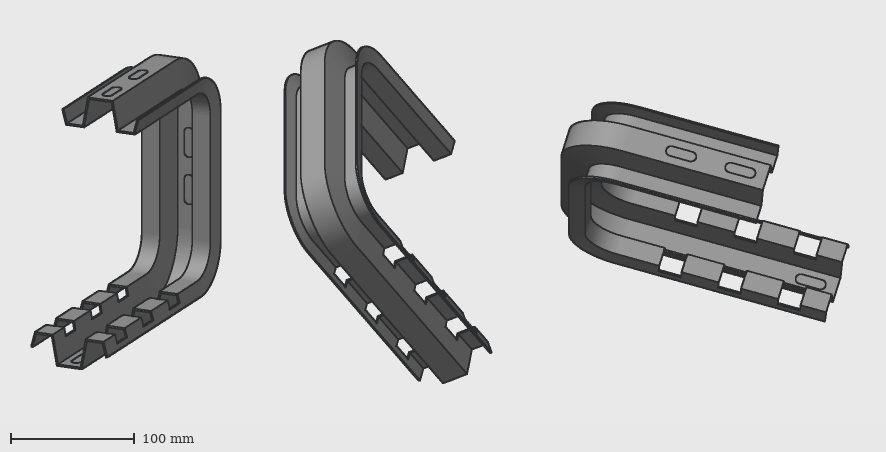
import cadquery as cq

height = 210.5
bottom_arm_length = 228.7
top_arm_length = 169.7

wall = 1.5
profile_depth = 26.0
profile_width = 68.2
lip_tip_depth = 13.3
web_half_width = 11.2
leg_foot_half_width = 16.0
flange_half_width = 30.6

inner_bend_radius = 25.5
outer_bend_radius = inner_bend_radius + profile_depth

notch_count = 3
notch_width = 18.8
notch_depth = 7.5
notch_pitch = 50.0
first_notch_from_end = 30.9

slot_length = 25.2
slot_width = 8.5
slot_depth = 0.2
back_slot_spacing = 39.8
top_slot_pitch = 49.9
top_slot_from_end = 22.2
bottom_slot_from_end = 22.0

lip_slope = (profile_width / 2 - flange_half_width) / (profile_depth - lip_tip_depth)

back_y = bottom_arm_length / 2
bottom_end_y = back_y - bottom_arm_length
top_end_y = back_y - top_arm_length
top_z = height / 2
bottom_z = -height / 2


def leg_outer_x(depth):
    slope = (leg_foot_half_width - web_half_width) / profile_depth
    return web_half_width + slope * depth


def lip_outer_x(depth):
    return profile_width / 2 - lip_slope * (depth - lip_tip_depth)


def profile_points():
    """Closed section as (x, depth) points, mirrored about x = 0."""
    flange_depth = profile_depth - wall
    lip_inner_depth = lip_tip_depth - lip_slope * wall
    right_half = [
        (leg_outer_x(0), 0),
        (leg_outer_x(flange_depth), flange_depth),
        (lip_outer_x(flange_depth) - wall, flange_depth),
        (lip_outer_x(lip_inner_depth) - wall, lip_inner_depth),
        (lip_outer_x(lip_tip_depth), lip_tip_depth),
        (lip_outer_x(profile_depth), profile_depth),
        (leg_outer_x(profile_depth) - wall, profile_depth),
        (leg_outer_x(wall) - wall, wall),
    ]
    left_half = [(-x, depth) for x, depth in reversed(right_half)]
    return right_half + left_half


def bent_channel():
    """Sweep the section along the outer web line, from the bottom arm to the top arm."""
    bend_y = back_y - outer_bend_radius
    low_bend_z = bottom_z + outer_bend_radius
    high_bend_z = top_z - outer_bend_radius
    path = (
        cq.Workplane("YZ")
        .moveTo(bottom_end_y, bottom_z)
        .lineTo(bend_y, bottom_z)
        .tangentArcPoint((back_y, low_bend_z), relative=False)
        .lineTo(back_y, high_bend_z)
        .tangentArcPoint((bend_y, top_z), relative=False)
        .lineTo(top_end_y, top_z)
    )
    section = cq.Workplane("XZ", origin=(0, bottom_end_y, bottom_z)).polyline(profile_points()).close()
    return section.sweep(path)


def flange_notches():
    flange_z = bottom_z + profile_depth
    first_y = bottom_end_y + first_notch_from_end
    centres = [(0, first_y + i * notch_pitch) for i in range(notch_count)]
    return (
        cq.Workplane("XY", origin=(0, 0, flange_z))
        .pushPoints(centres)
        .rect(profile_width, notch_width)
        .extrude(-notch_depth)
    )


def slot_tool(plane, centres):
    """Slots sunk below the given plane, long side along its second axis."""
    return (
        cq.Workplane(plane)
        .pushPoints(centres)
        .slot2D(slot_length, slot_width, 90)
        .extrude(-slot_depth)
    )


def web_slots():
    top_plane = cq.Plane(origin=(0, 0, top_z), xDir=(1, 0, 0), normal=(0, 0, 1))
    bottom_plane = cq.Plane(origin=(0, 0, bottom_z + wall), xDir=(1, 0, 0), normal=(0, 0, 1))
    back_plane = cq.Plane(origin=(0, back_y - wall, 0), xDir=(1, 0, 0), normal=(0, -1, 0))

    near_y = top_end_y + top_slot_from_end
    top_slots = slot_tool(top_plane, [(0, near_y), (0, near_y + top_slot_pitch)])
    bottom_slot = slot_tool(bottom_plane, [(0, bottom_end_y + bottom_slot_from_end)])
    back_slots = slot_tool(back_plane, [(0, -back_slot_spacing / 2), (0, back_slot_spacing / 2)])
    return top_slots.union(bottom_slot).union(back_slots)


result = bent_channel().cut(flange_notches()).cut(web_slots())